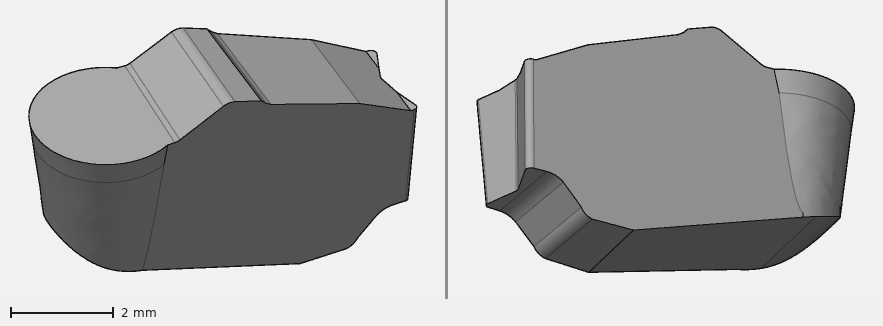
import cadquery as cq
import math


nose_radius = 1.5
collar_radius = 1.435
collar_height = 0.5
foot_radius = 1.15
foot_depth = 3.2
foot_center = (-0.075, 0.05)

bottom_z = -4.41
ramp_start_y = 3.82
ramp_end_y = -0.2
ramp_angle = math.radians(19.1)
arc_end = (-1.206, -2.32)
arc_end_slope = 1.2
front_limit_y = -2.0

slope_foot_y = 0.99
slope_angle = math.radians(30)
slope_foot_fillet = 0.22
ridge_fillet = 0.3

left_side_x = -1.29
left_by_z = -0.0175
right_side_x = 1.345
right_by_y = -0.08
right_by_z = 0.088
body_front_y = 0.1
limit_y = 8.0
half_reach = 2 * nose_radius
limit_top_z = 1.5
limit_bottom_z = -5.0

skew = 0.055
ridge = (2.165, 0.557)
top_slope = 0.35
step_top = (2.66, 0.385)
step_middle = (2.76, 0.28)
step_bottom = (2.88, 0.2)
top_break = (4.85, -0.557)
ledge_start = (5.99, -1.2)

tail_z = -3.62
undercut_rear_y = 5.72
undercut_bend = ((5.54, -3.65), (5.36, -3.76))
undercut_front_bend = ((4.96, -4.21), (4.85, -4.35))
undercut_front_y = 4.71

rear_left = (-1.28, 6.225)
rear_valley = (-0.32, 5.92)
rear_right = (0.745, 6.31)
rear_lean = 0.01
rear_left_fillet = 0.12
rear_right_fillet = 0.09
valley_fillet = 0.12


def make_nose():
    collar = (
        cq.Workplane("XY")
        .circle(nose_radius)
        .workplane(offset=-collar_height)
        .circle(collar_radius)
        .loft(ruled=True)
    )
    post = (
        cq.Workplane("XY", origin=(0, 0, -collar_height))
        .circle(collar_radius)
        .workplane(offset=collar_height - foot_depth)
        .center(*foot_center)
        .circle(foot_radius)
        .loft(ruled=True)
    )
    return collar.union(post)


def side_section(z):
    """Corners of the body's plan outline at height z."""
    left = left_side_x + left_by_z * z
    right_front = right_side_x + right_by_y * body_front_y + right_by_z * z
    right_rear = right_side_x + right_by_y * limit_y + right_by_z * z
    return [(left, body_front_y), (right_front, body_front_y), (right_rear, limit_y), (left, limit_y)]


def make_side_wedge():
    return (
        cq.Workplane("XY", origin=(0, 0, limit_bottom_z))
        .polyline(side_section(limit_bottom_z))
        .close()
        .workplane(offset=limit_top_z - limit_bottom_z)
        .polyline(side_section(limit_top_z))
        .close()
        .loft(ruled=True)
    )


def make_skewed_profile():
    """Body side profile swept along the skewed direction (1, skew, 0)."""
    plane = cq.Plane(origin=(left_side_x, 0, 0), xDir=(-skew, 1, 0), normal=(1, skew, 0))
    front_top_z = ridge[1] + top_slope * (ridge[0] - front_limit_y)
    return (
        cq.Workplane(plane)
        .moveTo(front_limit_y, bottom_z)
        .lineTo(front_limit_y, front_top_z)
        .lineTo(*step_top)
        .lineTo(*step_middle)
        .lineTo(*step_bottom)
        .lineTo(*top_break)
        .lineTo(*ledge_start)
        .lineTo(limit_y, ledge_start[1])
        .lineTo(limit_y, tail_z)
        .lineTo(undercut_rear_y, tail_z)
        .threePointArc(*undercut_bend)
        .lineTo(*undercut_front_bend[0])
        .threePointArc(undercut_front_bend[1], (undercut_front_y, bottom_z))
        .close()
        .extrude(half_reach, both=True)
    )


def make_straight_profile():
    """Front slope and underside, swept along X."""
    ramp_end_z = bottom_z + (ramp_start_y - ramp_end_y) * math.tan(ramp_angle)
    slope_top_y = slope_foot_y + limit_top_z / math.tan(slope_angle)
    profile = (
        cq.Workplane("YZ")
        .moveTo(front_limit_y, 0)
        .lineTo(slope_foot_y, 0)
        .lineTo(slope_top_y, limit_top_z)
        .lineTo(limit_y, limit_top_z)
        .lineTo(limit_y, bottom_z)
        .lineTo(ramp_start_y, bottom_z)
        .lineTo(ramp_end_y, ramp_end_z)
        .tangentArcPoint(arc_end, relative=False)
        .lineTo(front_limit_y, arc_end[1] + arc_end_slope * (arc_end[0] - front_limit_y))
        .close()
        .extrude(half_reach, both=True)
    )
    foot_edge = cq.selectors.NearestToPointSelector((0, slope_foot_y, 0))
    return profile.edges(foot_edge).fillet(slope_foot_fillet)


def make_rear_outline():
    """Block whose rear wall carries the shallow V notch, leaning with height."""
    height = limit_top_z - limit_bottom_z
    left_slope = (rear_left[1] - rear_valley[1]) / (rear_left[0] - rear_valley[0])
    right_slope = (rear_right[1] - rear_valley[1]) / (rear_right[0] - rear_valley[0])
    left_end_y = rear_valley[1] + left_slope * (-half_reach - rear_valley[0])
    right_end_y = rear_valley[1] + right_slope * (half_reach - rear_valley[0])
    lean_plane = cq.Plane(origin=(0, 0, ledge_start[1]), xDir=(1, 0, 0), normal=(0, rear_lean, 1))
    block = (
        cq.Workplane(lean_plane)
        .moveTo(-half_reach, front_limit_y)
        .lineTo(half_reach, front_limit_y)
        .lineTo(half_reach, right_end_y)
        .lineTo(*rear_valley)
        .lineTo(-half_reach, left_end_y)
        .close()
        .extrude(height, both=True)
    )
    valley_edge = cq.selectors.NearestToPointSelector((rear_valley[0], rear_valley[1], ledge_start[1]))
    return block.edges(valley_edge).fillet(valley_fillet)


def make_body():
    body = make_side_wedge().intersect(make_skewed_profile()).intersect(make_rear_outline())
    tail_middle_z = (ledge_start[1] + tail_z) / 2
    for corner, radius in ((rear_left, rear_left_fillet), (rear_right, rear_right_fillet)):
        corner_edge = cq.selectors.NearestToPointSelector((corner[0], corner[1], tail_middle_z))
        body = body.edges(corner_edge).fillet(radius)
    return body


def round_ridge(part):
    ridge_edge = cq.selectors.NearestToPointSelector((0, ridge[0], limit_top_z))
    return part.edges(ridge_edge).fillet(ridge_fillet)


part = make_nose().union(make_body()).intersect(make_straight_profile())
result = round_ridge(part)